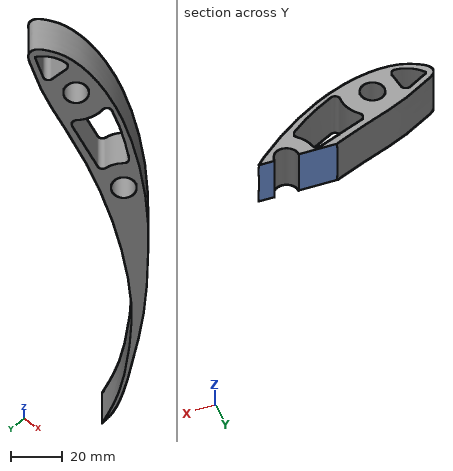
import cadquery as cq

height = 20.0

nose = (0, 8.0)
tail = (140.5, 123.3)
nose_direction = (0, 1)
concave_tail_direction = (0.25, 1)
convex_tail_direction = (0, -1)

concave_points = [
    (5.0, 13.1), (15.2, 18.7), (30.5, 25.0), (53.4, 34.3), (73.7, 44.8),
    (94.0, 58.5), (114.4, 76.8), (127.1, 93.2), (136.4, 109.8),
]
convex_points = [
    (140.3, 117.1), (137.8, 108.8), (129.6, 93.0), (117.0, 72.4), (101.6, 52.9),
    (83.9, 33.9), (63.5, 17.5), (45.8, 7.2), (30.5, 1.7), (17.9, 0), (10.1, 0.8), (5.0, 2.8),
]

hole_diameter = 10.0
front_hole = (26.4, 10.8)
rear_hole = (70.8, 32.6)
front_wall_radius = 13.2
rear_wall_radius = 11.8

pocket_fillet = 2.1
nose_pocket_tip = (3.0, 8.7)
nose_pocket_top = (14.6, 15.3)
nose_pocket_bottom = (16.3, 2.8)
nose_pocket_bulge = (7.5, 4.6)
nose_pocket_tip_fillet = 0.5

middle_pocket_top_front = (31.8, 22.2)
middle_pocket_top_rear = (60.5, 33.3)
middle_pocket_bottom_rear = (66.2, 23.5)
middle_pocket_bulge = (52.5, 13.4)
middle_pocket_bottom_front = (37.1, 5.6)


def cylinder_at(center, radius):
    """Full-height upright cylinder."""
    return cq.Workplane("XY").center(*center).circle(radius).extrude(height)


def make_blade():
    return (
        cq.Workplane("XY")
        .moveTo(*nose)
        .spline(concave_points + [tail], includeCurrent=True, scale=False,
                tangents=[nose_direction, concave_tail_direction])
        .spline(convex_points + [nose], includeCurrent=True, scale=False,
                tangents=[convex_tail_direction, nose_direction])
        .close()
        .extrude(height)
    )


def make_nose_pocket():
    """Triangular pocket with a bowed lower side."""
    pocket = (
        cq.Workplane("XY")
        .moveTo(*nose_pocket_tip)
        .lineTo(*nose_pocket_top)
        .lineTo(*nose_pocket_bottom)
        .threePointArc(nose_pocket_bulge, nose_pocket_tip)
        .close()
        .extrude(height)
    )
    pocket = pocket.edges("|Z and (not <X)").fillet(pocket_fillet)
    return pocket.edges("|Z and <X").fillet(nose_pocket_tip_fillet)


def make_middle_pocket():
    """Four-sided pocket whose ends curve around the two round holes."""
    return (
        cq.Workplane("XY")
        .moveTo(*middle_pocket_top_front)
        .lineTo(*middle_pocket_top_rear)
        .lineTo(*middle_pocket_bottom_rear)
        .threePointArc(middle_pocket_bulge, middle_pocket_bottom_front)
        .close()
        .extrude(height)
        .cut(cylinder_at(front_hole, front_wall_radius))
        .cut(cylinder_at(rear_hole, rear_wall_radius))
        .edges("|Z")
        .fillet(pocket_fillet)
    )


result = make_blade().cut(make_nose_pocket()).cut(make_middle_pocket())
for hole in (front_hole, rear_hole):
    result = result.cut(cylinder_at(hole, hole_diameter / 2))